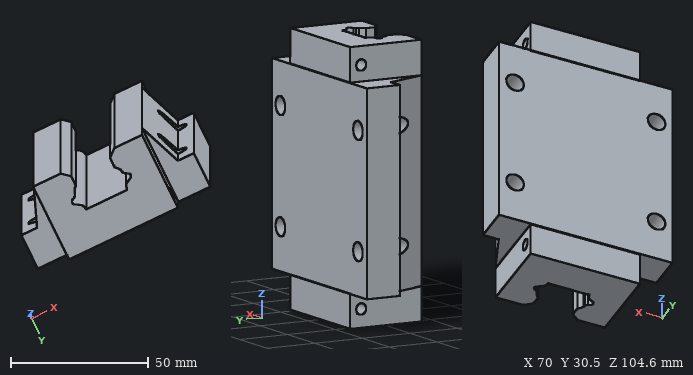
import cadquery as cq

LENGTH = 104.6
BODY_HALF_WIDTH = 22.1
BODY_HEIGHT = 30.1

FLANGE_LENGTH = 78.2
FLANGE_HALF_WIDTH = 70.0 / 2
FLANGE_TOP = 30.5
FLANGE_UNDERSIDE = 16.6
SLOPE_TOP_HALF_WIDTH = 28.6

MOUNT_HOLE_DIAMETER = 7.0
MOUNT_HOLE_SPACING_X = 57.0
MOUNT_HOLE_SPACING_Z = 45.0

CAP_HOLE_DIAMETER = 4.2
CAP_HOLE_SPACING_Z = 90.5
CAP_HOLE_Y = BODY_HEIGHT - 4.6

CHANNEL_LIP = [
    (10.9, 0), (8.2, 2.3), (7.8, 2.7), (7.8, 6.5), (8.8, 7.4),
    (9.4, 8.4), (9.6, 9.5), (10.4, 10.3), (11.1, 10.6),
]
BALL_GROOVE_BOTTOM = (11.8, 11.7)
BALL_GROOVE_TOP = (11.3, 12.5)
SHOULDER_START = (9.6, 13.5)
SHOULDER_END = (8.5, 15.0)
CEILING_CORNER = (8.3, 16.0)


def mirrored(points):
    """Reflect points across X = 0 and reverse their order."""
    return [(-x, y) for x, y in reversed(points)]


def extrude_centred(profile, length):
    return profile.extrude(length / 2, both=True)


def end_to_end_body():
    profile = cq.Workplane("XY").rect(2 * BODY_HALF_WIDTH, BODY_HEIGHT)
    return extrude_centred(profile, LENGTH).translate((0, BODY_HEIGHT / 2, 0))


def flanged_block():
    right = [
        (BODY_HALF_WIDTH, 0),
        (SLOPE_TOP_HALF_WIDTH, FLANGE_UNDERSIDE),
        (FLANGE_HALF_WIDTH, FLANGE_UNDERSIDE),
        (FLANGE_HALF_WIDTH, FLANGE_TOP),
    ]
    profile = cq.Workplane("XY").polyline(right + mirrored(right)).close()
    return extrude_centred(profile, FLANGE_LENGTH)


def rail_channel():
    ceiling_height = CEILING_CORNER[1]
    right_half = (
        cq.Workplane("XY")
        .polyline([(0, 0)] + CHANNEL_LIP)
        .threePointArc(BALL_GROOVE_BOTTOM, BALL_GROOVE_TOP)
        .lineTo(*SHOULDER_START)
        .tangentArcPoint(SHOULDER_END, relative=False)
        .lineTo(*CEILING_CORNER)
        .lineTo(0, ceiling_height)
        .close()
    )
    right_half = extrude_centred(right_half, LENGTH)
    return right_half.union(right_half.mirror("YZ"))


def mounting_holes():
    return (
        cq.Workplane("XZ")
        .rarray(MOUNT_HOLE_SPACING_X, MOUNT_HOLE_SPACING_Z, 2, 2)
        .circle(MOUNT_HOLE_DIAMETER / 2)
        .extrude(-FLANGE_TOP)
    )


def cap_cross_holes():
    holes = (
        cq.Workplane("YZ")
        .pushPoints([(CAP_HOLE_Y, side * CAP_HOLE_SPACING_Z / 2) for side in (-1, 1)])
        .circle(CAP_HOLE_DIAMETER / 2)
    )
    return extrude_centred(holes, 2 * BODY_HALF_WIDTH)


carriage = end_to_end_body().union(flanged_block())
result = carriage.cut(rail_channel()).cut(mounting_holes()).cut(cap_cross_holes())